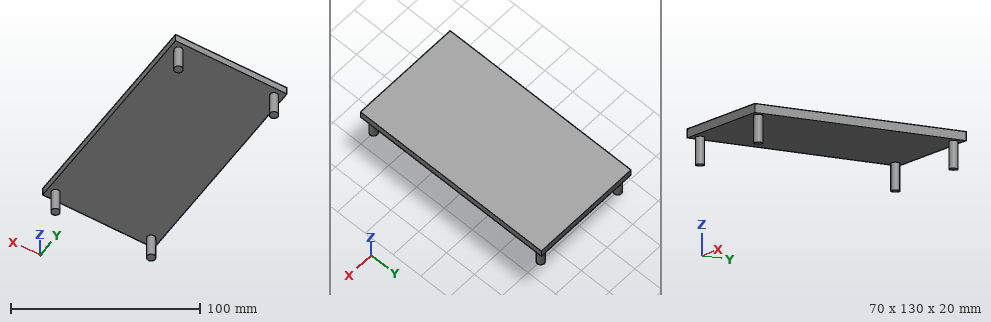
import cadquery as cq

plate_width = 70.0
plate_length = 130.0
total_height = 20.0
plate_thickness = 5.0
leg_diameter = 5.0
leg_inset = 5.0

leg_height = total_height - plate_thickness
leg_spacing_x = plate_width - 2 * leg_inset
leg_spacing_y = plate_length - 2 * leg_inset

plate = (
    cq.Workplane("XY")
    .workplane(offset=leg_height)
    .rect(plate_width, plate_length)
    .extrude(plate_thickness)
)

legs = (
    cq.Workplane("XY")
    .rect(leg_spacing_x, leg_spacing_y, forConstruction=True)
    .vertices()
    .circle(leg_diameter / 2)
    .extrude(leg_height)
)

result = plate.union(legs)